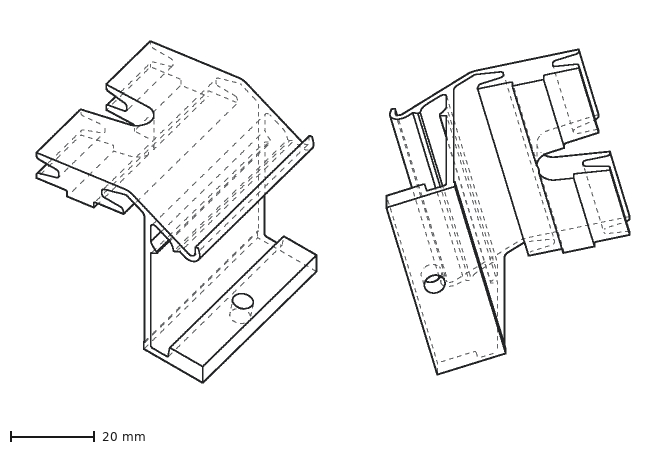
import cadquery as cq
import math

length = 50.0
total_width = 47.5
total_height = 50.15

head_width = 25.1
head_height = 7.95
head_center = head_width / 2
groove_web = 12.2
groove_taper = math.radians(10)
lip_thickness = 1.7
groove_radius = 1.0
lip_radius = 0.85
lip_end_setback = 0.5
lip_end_radius = 0.25
boss_width = 7.7
boss_depth = 1.8
boss_root_radius = 0.4

sheet = 1.8
flange_angle = math.radians(35)
flange_start = 26.5
bend_radius = 4.0
wall_left = 30.85
wall_right = wall_left + sheet
wall_corner_radius = 0.95
wall_outer_radius = 2.0

hook_inner_x = 45.3
hook_inner_radius = 1.15
hook_outer_radius = 2.75
hook_tip_z = -8.9
hook_tip_width = 0.95
hook_tip_radius = 0.4
hook_flare = math.radians(13)

flange_spur_start = 36.9
flange_spur_x = 39.1
flange_spur_z = -12.95
flange_spur_width = 0.6
flange_spur_end = 41.0
wall_spur_top = -12.95
wall_spur_tip = -15.35
wall_spur_tip_height = 0.5
wall_spur_bottom = -16.55
wall_spur_reach = 1.7
wall_spur_sag = 0.2
flange_spur_sag = 0.55

foot_angle = math.radians(10)
foot_left = 30.6
foot_step_height = 2.1
block_thickness = 5.0
block_start = 37.5
block_edge_radius = 0.15
foot_corner_radius = 0.7

slot_radius = 4.0
slot_flare = math.radians(7)
hole_diameter = 5.0
hole_x = 41.85


def flange_top(x):
    return -(x - flange_start) * math.tan(flange_angle)


def flange_under(x):
    return flange_top(x) - sheet / math.cos(flange_angle)


def foot_surface(x, thickness):
    """Height of a foot face lying the given thickness above its underside."""
    underside = -total_height + (total_width - x) * math.tan(foot_angle)
    return underside + thickness / math.cos(foot_angle)


def extrude_outline(points):
    return cq.Workplane("XZ").polyline(points).close().extrude(length / 2, both=True)


def round_edges(body, corners, radius):
    """Round the lengthwise edges that pass through the given (x, z) corners."""
    reach = 0.025
    picked = None
    for x, z in corners:
        box = cq.selectors.BoxSelector(
            (x - reach, -reach, z - reach), (x + reach, reach, z + reach)
        )
        picked = box if picked is None else picked + box
    return body.edges(picked).fillet(radius)


def make_profile():
    groove_depth = (head_width - groove_web) / 2
    taper_drop = groove_depth * math.tan(groove_taper)
    groove_right = head_width - groove_depth
    mouth_top = -lip_thickness
    mouth_bottom = -head_height + lip_thickness
    root_top = mouth_top - taper_drop
    root_bottom = mouth_bottom + taper_drop
    boss_left = head_center - boss_width / 2
    boss_right = head_center + boss_width / 2
    boss_bottom = -head_height - boss_depth
    left_lips = [(0, mouth_top), (0, mouth_bottom)]
    groove_roots = [
        (groove_depth, root_top),
        (groove_depth, root_bottom),
        (groove_right, root_bottom),
        (groove_right, root_top),
    ]
    boss_roots = [(boss_left, -head_height), (boss_right, -head_height)]
    lip_end_bottom = (head_width, -head_height)
    lip_end_x = head_width - lip_end_setback
    lip_end_top = (lip_end_x, mouth_bottom + lip_end_setback * math.tan(groove_taper))

    taper = math.tan(groove_taper)
    slope = math.tan(flange_angle)
    peak_x = (flange_under(0) - root_top + groove_right * taper) / (taper + slope)
    peak = (peak_x, flange_under(peak_x))

    wall_top_left = (wall_left, flange_under(wall_left))
    wall_top_right = (wall_right, flange_under(wall_right))
    foot_left_bottom = foot_surface(foot_left, 0)
    foot_step_z = foot_left_bottom + foot_step_height
    foot_inner = (wall_right, foot_surface(wall_right, sheet))
    block_root = (block_start, foot_surface(block_start, sheet))
    block_rise = block_thickness - sheet
    block_top = (
        block_root[0] + block_rise * math.sin(foot_angle),
        block_root[1] + block_rise * math.cos(foot_angle),
    )

    bend = (flange_start, 0)
    hook_inner = (hook_inner_x, flange_top(hook_inner_x))
    tip_inner = (hook_inner_x, hook_tip_z)
    tip_outer = (hook_inner_x + hook_tip_width, hook_tip_z)
    flare = math.tan(hook_flare)
    under_gap = hook_tip_z - flange_under(tip_outer[0])
    hook_outer_run = under_gap * flare / (1 - slope * flare)
    hook_outer_x = tip_outer[0] + hook_outer_run
    hook_outer = (hook_outer_x, flange_under(hook_outer_x))

    outline = [
        (0, 0),
        *left_lips[:1],
        *groove_roots[:2],
        *left_lips[1:],
        (0, -head_height),
        boss_roots[0],
        (boss_left, boss_bottom),
        (boss_right, boss_bottom),
        boss_roots[1],
        lip_end_bottom,
        lip_end_top,
        *groove_roots[2:],
        peak,
        wall_top_left,
        (wall_left, foot_step_z),
        (foot_left, foot_step_z),
        (foot_left, foot_left_bottom),
        (total_width, -total_height),
        (total_width, foot_surface(total_width, block_thickness)),
        block_top,
        block_root,
        foot_inner,
        wall_top_right,
        hook_outer,
        tip_outer,
        tip_inner,
        hook_inner,
        bend,
    ]
    body = extrude_outline(outline)
    body = round_edges(body, left_lips + [lip_end_top], lip_radius)
    body = round_edges(body, groove_roots, groove_radius)
    body = round_edges(body, boss_roots, boss_root_radius)
    body = round_edges(body, [lip_end_bottom], lip_end_radius)
    body = round_edges(body, [peak, wall_top_right], wall_corner_radius)
    body = round_edges(body, [wall_top_left], wall_outer_radius)
    body = round_edges(body, [foot_inner], foot_corner_radius)
    body = round_edges(body, [block_root, block_top], block_edge_radius)
    body = round_edges(body, [bend], bend_radius)
    body = round_edges(body, [hook_inner], hook_inner_radius)
    body = round_edges(body, [hook_outer], hook_outer_radius)
    return round_edges(body, [tip_inner, tip_outer], hook_tip_radius)


def make_flange_spur():
    inset = sheet / 2
    start = (flange_spur_start, flange_under(flange_spur_start))
    end = (flange_spur_end, flange_under(flange_spur_end))
    return (
        cq.Workplane("XZ")
        .moveTo(start[0], start[1] + inset)
        .lineTo(*start)
        .sagittaArc((flange_spur_x, flange_spur_z), flange_spur_sag)
        .lineTo(flange_spur_x + flange_spur_width, flange_spur_z)
        .lineTo(*end)
        .lineTo(end[0], end[1] + inset)
        .close()
        .extrude(length / 2, both=True)
    )


def make_wall_spur():
    inner_x = wall_right - sheet / 2
    tip_x = wall_right + wall_spur_reach
    return (
        cq.Workplane("XZ")
        .moveTo(inner_x, wall_spur_top)
        .lineTo(wall_right, wall_spur_top)
        .sagittaArc((tip_x, wall_spur_tip), -wall_spur_sag)
        .lineTo(tip_x, wall_spur_tip - wall_spur_tip_height)
        .lineTo(wall_right, wall_spur_bottom)
        .lineTo(inner_x, wall_spur_bottom)
        .close()
        .extrude(length / 2, both=True)
    )


def make_bolt_slot():
    """Flared slot, open at the left edge, with a round closed end."""
    tangent_x = head_center + slot_radius * math.sin(slot_flare)
    tangent_y = slot_radius * math.cos(slot_flare)
    mouth_y = tangent_y + tangent_x * math.tan(slot_flare)
    return (
        cq.Workplane("XY")
        .moveTo(0, -mouth_y)
        .lineTo(tangent_x, -tangent_y)
        .threePointArc((head_center + slot_radius, 0), (tangent_x, tangent_y))
        .lineTo(0, mouth_y)
        .close()
        .extrude(-head_height - boss_depth)
    )


def make_foot_hole():
    """Cylinder square to the foot, passing right through its block."""
    normal = cq.Vector(math.sin(foot_angle), 0, math.cos(foot_angle))
    entry = cq.Vector(hole_x, 0, foot_surface(hole_x, 0))
    overrun = 1.0
    return cq.Workplane(
        cq.Solid.makeCylinder(
            hole_diameter / 2,
            block_thickness + 2 * overrun,
            entry - normal * overrun,
            normal,
        )
    )


result = (
    make_profile()
    .union(make_flange_spur())
    .union(make_wall_spur())
    .cut(make_bolt_slot())
    .cut(make_foot_hole())
)